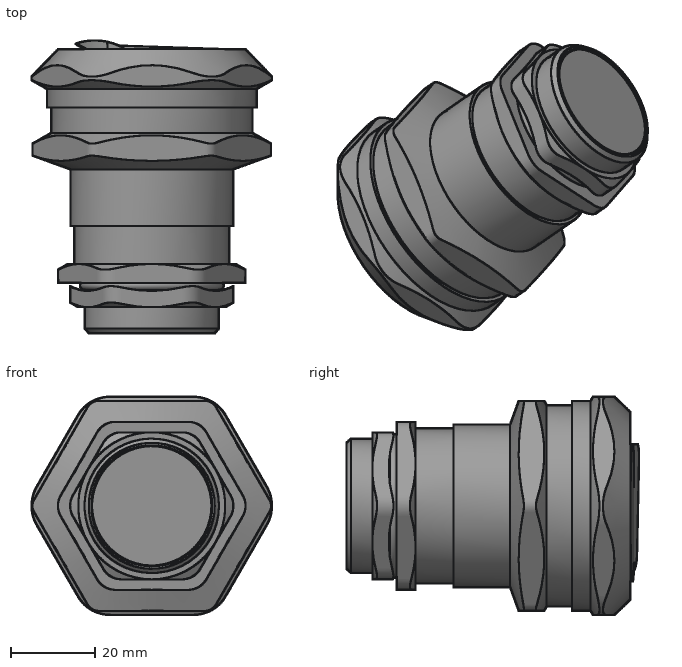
import cadquery as cq
import math

END_CHAMFER_LENGTH = 1.15
LOCKNUT_START = 6.2
LOCKNUT_END = 11.2
FLANGE_START = 12.0
FLANGE_END = 16.5
SLEEVE_START = 25.5
BODY_NUT_START = 39.0
BODY_NUT_END = 47.7
COLLAR_START = 53.7
CAP_START = 58.15
CAP_END = 67.65

END_DIAMETER = 32.0
NECK_DIAMETER = 37.0
SLEEVE_DIAMETER = 38.8
WAIST_DIAMETER = 48.0
COLLAR_DIAMETER = 50.0

LOCKNUT_FLATS = 35.0
FLANGE_FLATS = 40.0
BODY_NUT_FLATS = 50.0
CAP_FLATS = 52.0
SMALL_CORNER_RADIUS = 5.0
BODY_NUT_CORNER_RADIUS = 3.0
CAP_CORNER_RADIUS = 9.0

NUT_BEVEL_ANGLE = 30.0
BODY_NUT_FRONT_ANGLE = 20.0
CAP_BACK_ANGLE = 46.0
CAP_BACK_DIAMETER = 44.6
CAP_FRONT_DIAMETER = 50.0
LOCKNUT_DISH_DIAMETER = 38.8

END_CHAMFER_WIDTH = 1.0
END_RECESS_DIAMETER = 28.8
END_RECESS_DEPTH = 0.2

SEAL_OUTER_RADIUS = 17.15
SEAL_SECTION_RADIUS = 1.0
SEAL_STATION = 11.35

DISC_RADIUS = 16.35
DISC_OFFSET = 1.65
DISC_TILT = 1.9
TAB_TILT = -1.2
TAB_TIP_X = -18.1
TAB_ROOT_LEFT = -15.8
TAB_ROOT_RIGHT = -6.7
TAB_CREST_X = -11.0
TAB_TIP_HEIGHT = 1.25
TAB_HEIGHT = 1.55
EMBED = 0.5


def plane_at(station):
    """Plane across the axis, facing +Y."""
    return cq.Plane(origin=(0, station, 0), xDir=(1, 0, 0), normal=(0, 1, 0))


def cylinder(diameter, start, end):
    return cq.Workplane(plane_at(start)).circle(diameter / 2).extrude(end - start)


def revolved(points):
    """Turn a profile of (radius, Y) points about the Y axis."""
    return cq.Workplane("XY").polyline(points).close().revolve(360, (0, 0), (0, 1))


def hexagon(flats, corner_radius, start, end):
    """Hexagonal prism with flats at +Z and -Z and rounded corners at +X and -X."""
    corner_diameter = flats / math.cos(math.pi / 6)
    prism = cq.Workplane(plane_at(start)).polygon(6, corner_diameter).extrude(end - start)
    return prism.edges("|Y").fillet(corner_radius)


def bevel(body, flats, face_station, face_diameter, angle, direction):
    """Cone off the corners at one end face; direction is +1 when the hexagon lies toward +Y."""
    face_radius = face_diameter / 2
    outer_radius = flats
    rise = (outer_radius - face_radius) * math.tan(math.radians(angle))
    waste = revolved([
        (face_radius, face_station),
        (outer_radius, face_station),
        (outer_radius, face_station + direction * rise),
    ])
    return body.cut(waste)


def make_threaded_end():
    radius = END_DIAMETER / 2
    end = revolved([
        (0, 0),
        (radius - END_CHAMFER_WIDTH, 0),
        (radius, END_CHAMFER_LENGTH),
        (radius, FLANGE_START + EMBED),
        (0, FLANGE_START + EMBED),
    ])
    recess_radius = END_RECESS_DIAMETER / 2
    recess = revolved([
        (0, 0),
        (recess_radius, 0),
        (recess_radius - END_RECESS_DEPTH, END_RECESS_DEPTH),
        (0, END_RECESS_DEPTH),
    ])
    return end.cut(recess)


def make_locknut():
    """Hexagon with beveled front corners and a dished back face."""
    nut = hexagon(LOCKNUT_FLATS, SMALL_CORNER_RADIUS, LOCKNUT_START, LOCKNUT_END)
    nut = bevel(nut, LOCKNUT_FLATS, LOCKNUT_START, LOCKNUT_FLATS, NUT_BEVEL_ANGLE, 1)
    dish_radius = LOCKNUT_DISH_DIAMETER / 2
    inner_radius = END_DIAMETER / 2
    depth = (dish_radius - inner_radius) * math.tan(math.radians(NUT_BEVEL_ANGLE))
    dish = revolved([
        (0, LOCKNUT_END),
        (dish_radius, LOCKNUT_END),
        (inner_radius, LOCKNUT_END - depth),
        (0, LOCKNUT_END - depth),
    ])
    return nut.cut(dish)


def make_seal_ring():
    centre_radius = SEAL_OUTER_RADIUS - SEAL_SECTION_RADIUS
    inward = cq.Plane(origin=(centre_radius, SEAL_STATION, 0), xDir=(-1, 0, 0), normal=(0, 0, 1))
    section = cq.Workplane(inward).circle(SEAL_SECTION_RADIUS)
    return section.revolve(360, (centre_radius, 0), (centre_radius, 1))


def make_flange():
    flange = hexagon(FLANGE_FLATS, SMALL_CORNER_RADIUS, FLANGE_START, FLANGE_END)
    return bevel(flange, FLANGE_FLATS, FLANGE_END, FLANGE_FLATS, NUT_BEVEL_ANGLE, -1)


def make_body_nut():
    nut = hexagon(BODY_NUT_FLATS, BODY_NUT_CORNER_RADIUS, BODY_NUT_START, BODY_NUT_END)
    nut = bevel(nut, BODY_NUT_FLATS, BODY_NUT_START, SLEEVE_DIAMETER, BODY_NUT_FRONT_ANGLE, 1)
    return bevel(nut, BODY_NUT_FLATS, BODY_NUT_END, WAIST_DIAMETER, NUT_BEVEL_ANGLE, -1)


def make_cap():
    cap = hexagon(CAP_FLATS, CAP_CORNER_RADIUS, CAP_START, CAP_END)
    cap = bevel(cap, CAP_FLATS, CAP_START, CAP_FRONT_DIAMETER, NUT_BEVEL_ANGLE, 1)
    return bevel(cap, CAP_FLATS, CAP_END, CAP_BACK_DIAMETER, CAP_BACK_ANGLE, -1)


def make_sealing_disc():
    """Low wedge-topped disc, highest on its -X side, falling to the cap face at its +X side."""
    low_x = DISC_OFFSET + DISC_RADIUS
    high_x = DISC_OFFSET - DISC_RADIUS
    height = 2 * DISC_RADIUS * math.tan(math.radians(DISC_TILT))
    wedge = (
        cq.Workplane("XY", origin=(0, 0, -DISC_OFFSET))
        .polyline([
            (high_x, CAP_END + height),
            (low_x, CAP_END),
            (low_x, CAP_END - EMBED),
            (high_x, CAP_END - EMBED),
        ])
        .close()
        .extrude(DISC_RADIUS, both=True)
    )
    round_limit = cylinder(2 * DISC_RADIUS, CAP_END - EMBED, CAP_END + height)
    return wedge.intersect(round_limit.translate((DISC_OFFSET, 0, -DISC_OFFSET)))


def make_tab():
    """Raised, undercut lip along the -X side of the disc, its crest rising toward +Z."""
    lip = (
        cq.Workplane("XY", origin=(0, 0, -DISC_OFFSET - DISC_RADIUS))
        .moveTo(TAB_ROOT_LEFT, CAP_END - EMBED)
        .lineTo(TAB_ROOT_LEFT, CAP_END)
        .lineTo(TAB_TIP_X, CAP_END + TAB_TIP_HEIGHT)
        .threePointArc((TAB_CREST_X, CAP_END + TAB_HEIGHT), (TAB_ROOT_RIGHT, CAP_END))
        .lineTo(TAB_ROOT_RIGHT, CAP_END - EMBED)
        .close()
        .extrude(2 * DISC_RADIUS)
        .rotate((0, CAP_END, 0), (1, CAP_END, 0), TAB_TILT)
    )
    return lip.intersect(cylinder(-2 * TAB_TIP_X, CAP_START, CAP_END + 2 * TAB_HEIGHT))


result = (
    make_threaded_end()
    .union(make_locknut())
    .union(make_seal_ring())
    .union(make_flange())
    .union(cylinder(NECK_DIAMETER, FLANGE_END, SLEEVE_START))
    .union(cylinder(SLEEVE_DIAMETER, SLEEVE_START, BODY_NUT_START))
    .union(make_body_nut())
    .union(cylinder(WAIST_DIAMETER, BODY_NUT_END, COLLAR_START))
    .union(cylinder(COLLAR_DIAMETER, COLLAR_START, CAP_START))
    .union(make_cap())
    .union(make_sealing_disc())
    .union(make_tab())
)